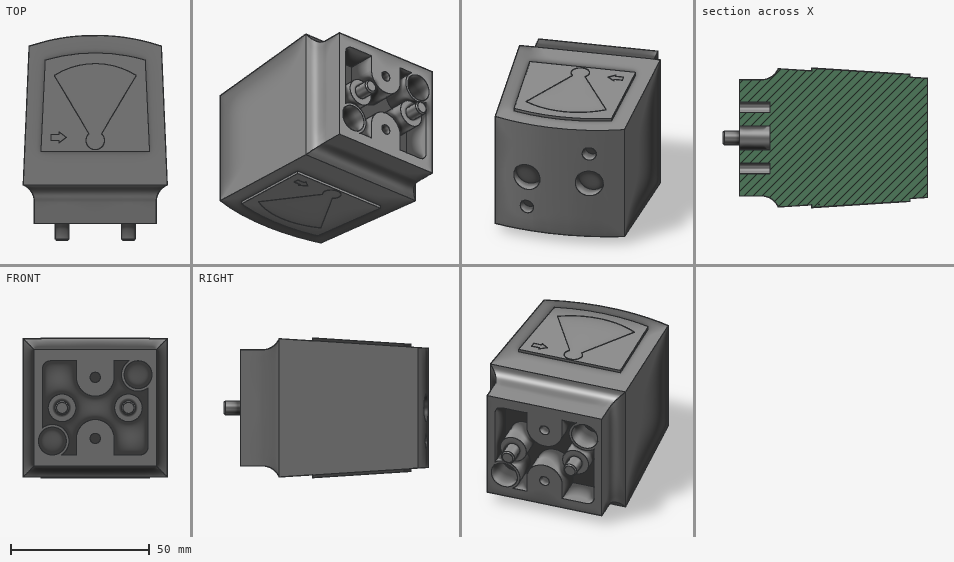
import cadquery as cq
import math

body_width = 52.0
body_height = 49.95
back_width = 47.4
back_height = 43.0
overhang = 4.0
base_length = 8.0
shoulder_length = 6.0
pin_length = 6.0
body_start = base_length + shoulder_length
total_length = 73.9
back_y = total_length - pin_length
back_radius = 75.7
base_width = body_width - 2 * overhang
base_height = body_height - 2 * overhang
prism_reach = body_width

label_thickness = 1.0
label_front_y = 26.0
label_corner_y = 58.95
label_back_y = 61.55
label_front_half = 19.6
label_back_half = 18.0

engraving_depth = 0.1
hub_y = 30.0
hub_radius = 3.3
fan_radius = 27.7
fan_half_width = 14.8
fan_neck_half_width = 2.3
arrow_tail_x = -16.0
arrow_neck_x = -13.1
arrow_tip_x = -10.4
arrow_y = 31.1
arrow_shaft_half = 1.1
arrow_head_half = 2.0

pocket_width = 38.1
pocket_height = 34
pocket_depth = 11.0
pocket_corner_radius = 3.0
tongue_radius = 6.8
tongue_center_z = 11.0
tongue_hole_diameter = 3.7
pin_x = 12.0
pin_diameter = 5.0
pin_chamfer = 0.5
pin_boss_diameter = 10.0
socket_x = 15.45
socket_z = 12.0
socket_diameter = 10.05
socket_boss_diameter = 12.0
pin_points = [(-pin_x, 0), (pin_x, 0)]
socket_points = [(-socket_x, -socket_z), (socket_x, socket_z)]
tongue_points = [(0, -tongue_center_z), (0, tongue_center_z)]

large_recess_diameter = 10.0
small_recess_diameter = 5.0
recess_x = 11.5
small_recess_z = 12.0
recess_depth = 6.0


def face_cylinders(points, diameter, depth):
    """Cylinders from the mating face into the housing, centred at (x, z) points."""
    return cq.Workplane("XZ").pushPoints(points).circle(diameter / 2).extrude(-depth)


def tapered_block(extra_height=0):
    """Block that narrows towards the back; extra_height is added above and below."""
    return (
        cq.Workplane("XZ", origin=(0, body_start, 0))
        .rect(body_width, body_height + 2 * extra_height)
        .workplane(offset=body_start - back_y)
        .rect(back_width, back_height + 2 * extra_height)
        .loft(ruled=True)
    )


def flared_prism(plane, half_size):
    """Base and concave shoulder as one profile, extruded right across the part."""
    radius = (overhang**2 + shoulder_length**2) / (2 * overhang)
    half_body = half_size + overhang
    profile = (
        cq.Workplane(plane)
        .moveTo(-half_size, 0)
        .lineTo(half_size, 0)
        .lineTo(half_size, base_length)
        .radiusArc((half_body, body_start), radius)
        .lineTo(-half_body, body_start)
        .radiusArc((-half_size, base_length), radius)
        .close()
    )
    return profile.extrude(prism_reach, both=True)


def housing():
    across = flared_prism("XY", base_width / 2)
    upright = flared_prism("ZY", base_height / 2)
    back_cylinder = (
        cq.Workplane("XY")
        .center(0, back_y - back_radius)
        .circle(back_radius)
        .extrude(prism_reach, both=True)
    )
    return across.intersect(upright).union(tapered_block().intersect(back_cylinder))


def label():
    outline = (
        cq.Workplane("XY")
        .moveTo(-label_front_half, label_front_y)
        .lineTo(label_front_half, label_front_y)
        .lineTo(label_back_half, label_corner_y)
        .threePointArc((0, label_back_y), (-label_back_half, label_corner_y))
        .close()
    )
    return outline.extrude(prism_reach, both=True).intersect(tapered_block(label_thickness))


def engraving():
    fan_corner_y = hub_y + math.sqrt(fan_radius**2 - fan_half_width**2)
    neck_y = hub_y + math.sqrt(hub_radius**2 - fan_neck_half_width**2)
    fan = (
        cq.Workplane("XY")
        .moveTo(fan_neck_half_width, neck_y)
        .lineTo(fan_half_width, fan_corner_y)
        .threePointArc((0, hub_y + fan_radius), (-fan_half_width, fan_corner_y))
        .lineTo(-fan_neck_half_width, neck_y)
        .threePointArc((0, hub_y - hub_radius), (fan_neck_half_width, neck_y))
        .close()
        .extrude(prism_reach, both=True)
    )
    arrow = (
        cq.Workplane("XY")
        .center(0, arrow_y)
        .moveTo(arrow_tail_x, -arrow_shaft_half)
        .lineTo(arrow_neck_x, -arrow_shaft_half)
        .lineTo(arrow_neck_x, -arrow_head_half)
        .lineTo(arrow_tip_x, 0)
        .lineTo(arrow_neck_x, arrow_head_half)
        .lineTo(arrow_neck_x, arrow_shaft_half)
        .lineTo(arrow_tail_x, arrow_shaft_half)
        .close()
        .extrude(prism_reach, both=True)
    )
    return fan.union(arrow).cut(tapered_block(label_thickness - engraving_depth))


def face_pocket():
    """Pocket around two round-ended tongues and the pin and socket bosses."""
    pocket = (
        cq.Workplane("XZ")
        .rect(pocket_width, pocket_height)
        .extrude(-pocket_depth)
        .edges("|Y")
        .fillet(pocket_corner_radius)
    )
    tongue_root = base_height / 2 - tongue_center_z
    for side in (-1, 1):
        root = (
            cq.Workplane("XZ")
            .center(0, side * (tongue_center_z + tongue_root / 2))
            .rect(2 * tongue_radius, tongue_root)
            .extrude(-pocket_depth)
        )
        pocket = pocket.cut(root)
    pocket = pocket.cut(face_cylinders(tongue_points, 2 * tongue_radius, pocket_depth))
    pocket = pocket.cut(face_cylinders(pin_points, pin_boss_diameter, pocket_depth))
    return pocket.cut(face_cylinders(socket_points, socket_boss_diameter, pocket_depth))


def pins():
    return (
        cq.Workplane("XZ")
        .pushPoints(pin_points)
        .circle(pin_diameter / 2)
        .extrude(pin_length)
        .faces("<Y")
        .chamfer(pin_chamfer)
    )


def back_recesses():
    """A large and a small recess on either side, the small ones diagonally opposite."""
    back = cq.Workplane("XZ", origin=(0, back_y, 0))
    large_points = [(-recess_x, 0), (recess_x, 0)]
    small_points = [(-recess_x, small_recess_z), (recess_x, -small_recess_z)]
    large = back.pushPoints(large_points).circle(large_recess_diameter / 2).extrude(recess_depth)
    small = back.pushPoints(small_points).circle(small_recess_diameter / 2).extrude(recess_depth)
    return large.union(small)


result = (
    housing()
    .union(label())
    .cut(engraving())
    .cut(face_pocket())
    .cut(face_cylinders(tongue_points, tongue_hole_diameter, pocket_depth))
    .cut(face_cylinders(socket_points, socket_diameter, pocket_depth))
    .cut(back_recesses())
    .union(pins())
)